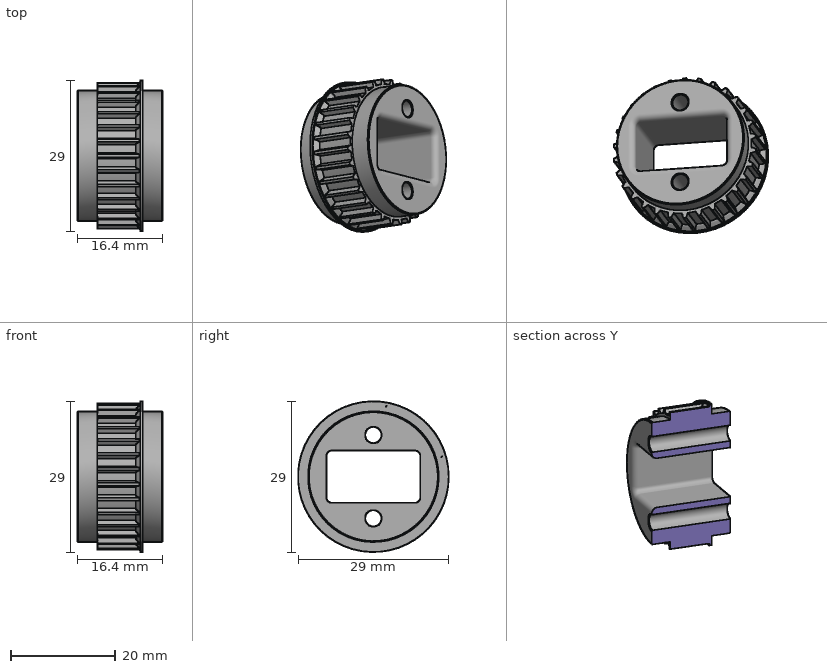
import cadquery as cq
import math

length = 16.4
hub_diameter = 25.15
hub_length = 3.85
hub_chamfer = 0.2

flange_radius = 14.5
flange_thickness = 0.5
cone_angle = 45.0
cone_outer_radius = 14.2
cone_inner_radius = 13.55
cone_round_radius = 0.5

tooth_count = 30
tip_radius = 14.06
root_radius = 13.15
tip_width = 0.55
flank_angle = 20.0
tooth_sink = 0.3

opening_width = 17.98
opening_height = 9.98
opening_corner_radius = 1.0
opening_fillet = 1.2

hole_diameter = 3.1
hole_offset = 8.0
hole_chamfer = 0.17

x_front = -length / 2
x_back = length / 2
x_teeth = x_front + hub_length
x_flange_back = x_back - hub_length
x_flange = x_flange_back - flange_thickness


def cylinder(x_start, x_end, radius):
    return cq.Workplane("YZ", origin=(x_start, 0, 0)).circle(radius).extrude(x_end - x_start)


def flange():
    """Rim and cone, revolved about the X axis from a half profile of (x, radius) points."""
    full_angle = math.radians(cone_angle)
    half_angle = full_angle / 2
    x_cone = x_flange - (cone_outer_radius - cone_inner_radius) / math.tan(full_angle)
    x_wall = x_cone - cone_round_radius * (1 - math.cos(full_angle))
    wall_radius = cone_inner_radius - cone_round_radius * math.sin(full_angle)
    round_middle = (
        x_wall + cone_round_radius * (1 - math.cos(half_angle)),
        wall_radius + cone_round_radius * math.sin(half_angle),
    )
    profile = (
        cq.Workplane("XY")
        .moveTo(x_wall, 0)
        .lineTo(x_wall, wall_radius)
        .threePointArc(round_middle, (x_cone, cone_inner_radius))
        .lineTo(x_flange, cone_outer_radius)
        .lineTo(x_flange, flange_radius)
        .lineTo(x_flange_back, flange_radius)
        .lineTo(x_flange_back, 0)
        .close()
    )
    return profile.revolve(360, (0, 0, 0), (1, 0, 0))


def teeth():
    """Straight-flanked teeth, the first one pointing along +Z, reaching into the flange."""
    base_radius = root_radius - tooth_sink
    tip_half = tip_width / 2
    base_half = tip_half + (tip_radius - base_radius) * math.tan(math.radians(flank_angle))
    tooth = (
        cq.Workplane("YZ", origin=(x_teeth, 0, 0))
        .moveTo(-base_half, base_radius)
        .lineTo(-tip_half, tip_radius)
        .lineTo(tip_half, tip_radius)
        .lineTo(base_half, base_radius)
        .close()
        .extrude(x_flange_back - x_teeth)
    )
    ring = cylinder(x_teeth, x_flange_back, root_radius)
    for index in range(tooth_count):
        ring = ring.union(tooth.rotate((0, 0, 0), (1, 0, 0), index * 360 / tooth_count))
    return ring


def opening_cutter():
    return (
        cq.Workplane("YZ", origin=(x_front, 0, 0))
        .rect(opening_width, opening_height)
        .extrude(length)
        .edges("|X")
        .fillet(opening_corner_radius)
    )


def hole_cutter(z):
    """Through hole with a chamfered mouth on the front face."""
    radius = hole_diameter / 2
    mouth = cq.Solid.makeCone(
        radius + hole_chamfer, radius, hole_chamfer, cq.Vector(x_front, 0, z), cq.Vector(1, 0, 0)
    )
    return cylinder(x_front, x_back, radius).translate((0, 0, z)).union(cq.Workplane(mouth))


hub = cylinder(x_front, x_back, hub_diameter / 2).faces("<X or >X").edges().chamfer(hub_chamfer)
hub = hub.cut(opening_cutter())
hub = hub.faces("<X").edges("%LINE").fillet(opening_fillet)

band = teeth().union(flange()).cut(cylinder(x_front, x_back, hub_diameter / 2))
result = hub.union(band)
for z in (hole_offset, -hole_offset):
    result = result.cut(hole_cutter(z))